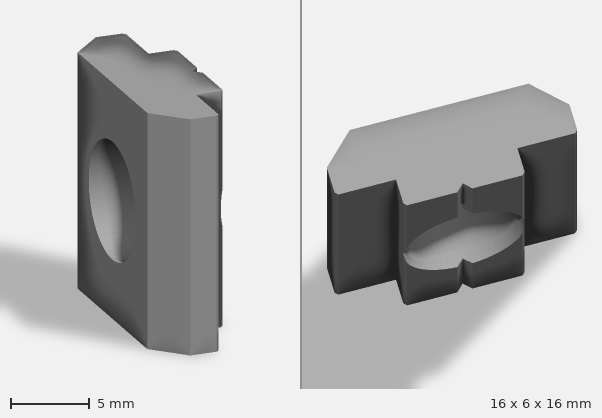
import cadquery as cq

width = 16.0
thickness = 6.0
length = 16.0

boss_width = 8.0
boss_height = 1.9
bevel = 2.1
edge_chamfer = 0.2
groove_depth = 0.5
hole_diameter = 8.0

half_width = width / 2
half_boss = boss_width / 2
front_y = -thickness / 2
back_y = thickness / 2
shoulder_y = back_y - boss_height


def half_profile():
    """Points of the +X half of the section, from the groove round to the front face."""
    return [
        (0, back_y - groove_depth),
        (groove_depth, back_y),
        (half_boss - edge_chamfer, back_y),
        (half_boss, back_y - edge_chamfer),
        (half_boss, shoulder_y),
        (half_width - edge_chamfer, shoulder_y),
        (half_width, shoulder_y - edge_chamfer),
        (half_width, front_y + bevel),
        (half_width - bevel, front_y),
    ]


def make_body():
    """Extrude the symmetric T-shaped section along Z."""
    right_side = half_profile()
    left_side = [(-x, y) for x, y in reversed(right_side[1:])]
    bottom_plane = cq.Workplane("XY", origin=(0, 0, -length / 2))
    return bottom_plane.polyline(right_side + left_side).close().extrude(length)


def make_hole():
    """Round hole through the full thickness along Y."""
    back_plane = cq.Workplane("XZ", origin=(0, back_y, 0))
    return back_plane.circle(hole_diameter / 2).extrude(thickness)


result = make_body().cut(make_hole())